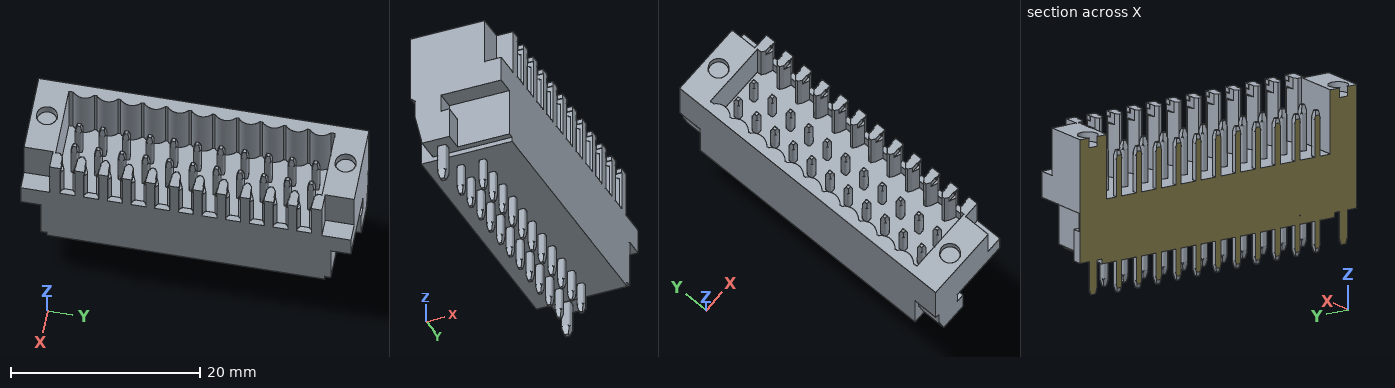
import cadquery as cq


positions = 11
pitch = 2.542
row_spacing = pitch
first_row_x = 3.65
pin_rows_x = [first_row_x, first_row_x + row_spacing]
pin_rows_y = [(i - (positions - 1) / 2) * pitch for i in range(positions)]

width = 10.5
length = 35.5
height = 14.25
overall_height = 17.7
ear_height = 13.7
ear_inner_y = 14.9

cavity_half_length = 14.3
cavity_depth = 7.1
valley_x = 1.0
scallop_peak_x = 1.53
scallop_half_width = 1.15

nose_x = 8.65
slot_width = 1.6
slot_mouth_width = 1.45
slot_mouth_x = 9.87
slot_mouth_depth = 5.1
slot_lip_depth = 0.57
nose_flat = 0.32
nose_chamfer_length = 0.43
rib_start_x = nose_x + nose_chamfer_length
rib_end_x = 10.22
rib_gap = 0.95
rib_top_depth = 1.2

notch_x = 8.6
notch_half_length = 14.63
notch_depth = 5.25

recess_half_length = 15.6
recess_x = 3.55
recess_step_x = 4.5
recess_top_depth = 8.15
recess_step_depth = 10.2

relief_top_depth = 7.65
relief_x = 0.55
relief_flat_top_depth = 8.1
relief_slope_depth = 10.2
relief_bottom_x = 1.35

end_hole_y = 16.05
mount_hole_x = 4.35
mount_hole_diameter = 2.2
mount_hole_depth = 1.05
tip_length = 0.95
pin_edge_radius = 0.2
contact_width = 0.78
contact_tip_width = 0.35
contact_top_depth = 2.05
anchor_width = 1.03
anchor_tip_width = 0.45
anchor_x = 3.05
anchor_end_depth = 8.7
anchor_overlap = 0.35


def box(x0, x1, y0, y1, z0, z1):
    """Axis-aligned block between the given limits."""
    return cq.Workplane("XY").box(x1 - x0, y1 - y0, z1 - z0, centered=False).translate((x0, y0, z0))


def end_block(x0, x1, y_inner, z0, z1):
    """Matching pair of blocks from y_inner out to both ends of the housing."""
    block = box(x0, x1, y_inner, length / 2, z0, z1)
    return block.union(block.mirror("XZ"))


def tip(base_width, end_width):
    """Square tapered tip pointing up, with its base at Z = 0."""
    return (
        cq.Workplane("XY").rect(base_width, base_width)
        .workplane(offset=tip_length).rect(end_width, end_width)
        .loft()
    )


def pin_end(pin_width, end_width, pin_length):
    """Pin with rounded edges rising from Z = 0 to a square tapered tip."""
    shank_length = pin_length - tip_length
    prism = (
        cq.Workplane("XY").rect(pin_width, pin_width).extrude(pin_length)
        .edges("|Z").fillet(pin_edge_radius)
    )
    envelope = (
        cq.Workplane("XY").rect(pin_width, pin_width).extrude(shank_length)
        .union(tip(pin_width, end_width).translate((0, 0, shank_length)))
    )
    return prism.intersect(envelope)


def pointing_down(pin):
    return pin.mirror("XY")


def housing_blank():
    """Outer block with the end notches, recesses and ear reliefs cut away."""
    body = box(0, width, -length / 2, length / 2, -height, 0)
    body = body.cut(end_block(0, width, ear_inner_y, -height, -ear_height))
    body = body.cut(end_block(notch_x, width, notch_half_length, -notch_depth, 0))
    body = body.cut(end_block(recess_x, width, recess_half_length, -recess_step_depth, -recess_top_depth))
    body = body.cut(end_block(recess_step_x, width, recess_half_length, -height, -recess_step_depth))
    relief = (
        cq.Workplane("XZ")
        .moveTo(0, -relief_top_depth)
        .lineTo(relief_x, -relief_flat_top_depth)
        .lineTo(relief_x, -relief_slope_depth)
        .lineTo(relief_bottom_x, -ear_height)
        .lineTo(0, -ear_height)
        .close()
        .extrude(length / 2 - ear_inner_y)
        .translate((0, -ear_inner_y, 0))
    )
    return body.cut(relief).cut(relief.mirror("XZ"))


def cavity():
    """Open pocket: scalloped left wall, right wall with chamfered noses between slots."""
    flat_edge = (pitch - nose_flat) / 2
    outline = (
        cq.Workplane("XY")
        .moveTo(valley_x, cavity_half_length)
        .lineTo(nose_x, cavity_half_length)
    )
    for y in reversed(pin_rows_y):
        outline = (
            outline
            .lineTo(nose_x, y + flat_edge)
            .lineTo(rib_start_x, y + slot_width / 2)
            .lineTo(slot_mouth_x, y + slot_width / 2)
            .lineTo(slot_mouth_x, y - slot_width / 2)
            .lineTo(rib_start_x, y - slot_width / 2)
            .lineTo(nose_x, y - flat_edge)
        )
    outline = outline.lineTo(nose_x, -cavity_half_length).lineTo(valley_x, -cavity_half_length)
    for y in pin_rows_y:
        outline = (
            outline.lineTo(valley_x, y - scallop_half_width)
            .threePointArc((scallop_peak_x, y), (valley_x, y + scallop_half_width))
        )
    return outline.close().extrude(-cavity_depth)


def slot_mouth(y):
    """Outer, shallower part of a slot, open through the right face."""
    lip_half = slot_mouth_width / 2
    half = slot_width / 2
    lip = box(slot_mouth_x, width, y - lip_half, y + lip_half, -slot_lip_depth, 0)
    return lip.union(box(slot_mouth_x, width, y - half, y + half, -slot_mouth_depth, -slot_lip_depth))


def slot_ribs(y):
    """Pair of triangular ribs that narrow a slot."""
    half = slot_width / 2
    rib = (
        cq.Workplane("XY")
        .moveTo(rib_start_x, half)
        .lineTo(slot_mouth_x, rib_gap / 2)
        .lineTo(rib_end_x, half)
        .close()
        .extrude(rib_top_depth - cavity_depth)
        .translate((0, 0, -rib_top_depth))
    )
    return rib.union(rib.mirror("XZ")).translate((0, y, 0))


def anchor_socket(y):
    """Square hole in the left face of an ear, for the upper end of an anchor pin."""
    half = anchor_width / 2
    return box(
        relief_x, relief_x + tip_length, y - half, y + half, -anchor_end_depth - half, -anchor_end_depth + half
    )


body = housing_blank().cut(cavity())
for y in pin_rows_y:
    body = body.cut(slot_mouth(y)).union(slot_ribs(y))

anchor_pin = pointing_down(pin_end(anchor_width, anchor_tip_width, overall_height - ear_height + anchor_overlap))
anchor_tip = tip(anchor_width, anchor_tip_width).rotate((0, 0, 0), (0, 1, 0), -90)
for y in (-end_hole_y, end_hole_y):
    mount_hole = cq.Workplane("XY").center(mount_hole_x, y).circle(mount_hole_diameter / 2).extrude(-mount_hole_depth)
    body = body.cut(mount_hole).cut(anchor_socket(y))
    body = body.union(anchor_tip.translate((relief_x + tip_length, y, -anchor_end_depth)))
    body = body.union(anchor_pin.translate((anchor_x, y, anchor_overlap - ear_height)))

floor_middle = (cavity_depth + height) / 2
contact = pin_end(contact_width, contact_tip_width, floor_middle - contact_top_depth).union(
    pointing_down(pin_end(contact_width, contact_tip_width, overall_height - floor_middle))
)
for x in pin_rows_x:
    for y in pin_rows_y:
        body = body.union(contact.translate((x, y, -floor_middle)))

result = body